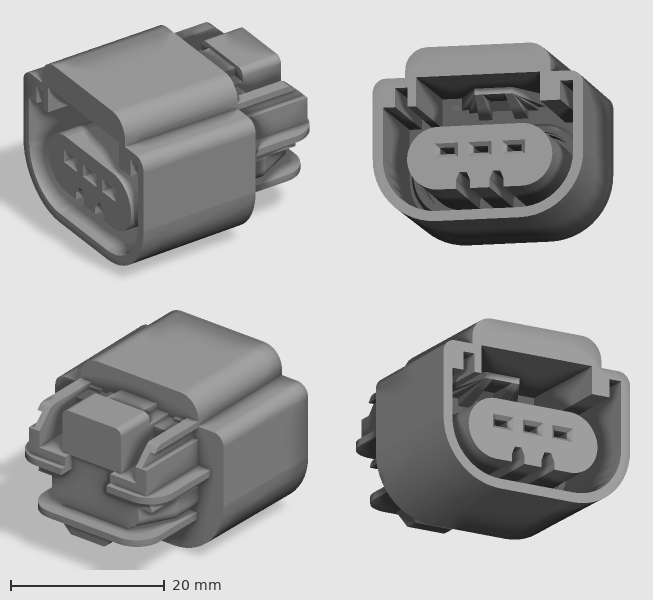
import cadquery as cq
import math


shroud_length = 17.65
shroud_width = 28.15
half_width = shroud_width / 2
lower_radius = 8.53
shoulder_z = 19.2
shoulder_radius = 1.75
draft_angle = 0.5
hood_half_width = 9.73
hood_top = 23.12
hood_radius = 2.93

axis_z = lower_radius
oval_half_flat = half_width - lower_radius
wall = 1.35
cavity_depth = 14.65
ledge_z = 15.35
pocket_top = 17.87
left_pocket = (-11.08, -9.4)
inner_opening_half = 8.32
right_pocket_left = 11.0

core_front = 0.97
core_radius = 4.15
core_draft = 0.4
seal_front = 11.72
seal_radius = 6.4
seal_lead_in = 0.53
seal_angle = 20
seal_bore_radius = 5.05
seal_lip_radius = 4.83
seal_lip_depth = 0.6

contact_pitch = 4.48
contact_z = 9.55
opening_width, opening_height = 3.1, 1.85
funnel_width, funnel_height = 1.95, 0.88
funnel_depth = 0.6
contact_end = 5.85
slot_half_width = 1.9 / 2
slot_tip_half_width = 0.97 / 2
slot_shoulder_z = 5.42
slot_top_z = 6.53

nose_front = 8.8
ramp_front = 13.48
nose_half_width = 2.52
nose_bottom = 18.28
leg_inner = 1.5
leg_outer = 3.3
leg_bottom = 16.03
wing_half_width = 5.6
wing_bottom = 17.5
step_half_width = 4.7
step_bottom = 17.05
ramp_bottom = 17.17

part_length = 29.3
flange_thickness = 0.97
upper_flange_half = 11.75
upper_flange_bottom = 12.3
lower_flange_half = 9.58
lower_flange_bottom = 5.3
flange_radius = 3.8
upper_flange_top = upper_flange_bottom + flange_thickness
gap_half_width = 3.75
gap_front = 26.95

barrel_half = 9.82
barrel_upper_half = 9.38
barrel_end = 26.93
barrel_bottom, barrel_top = 6.77, 11.72
barrel_radius = 1.6
taper_start = 21.9
taper_slope = 0.53
taper_top = 10.08

foot_half_width = 4.4
foot_bottom = 3.57
foot_bevel_height = 1.6
foot_bevel_width = 1.65
foot_end = 28.55
foot_tip = 26.6

rail_end = 28.55
rail_top = 19.75
rail_inner = 7.97
rail_bend_radius = 1.05
groove_bottom, groove_top = 17.08, 18.87
groove_depth = 0.8
deck_top = 14.65
front_deck_top = 18.9
front_deck_end = 20.85
stop_top = 19.35
stop_end = 18.2
stop_inner = 6.07

latch_start, latch_end = 21.68, 27.65
latch_half_width = 4.85
latch_top = 21.1
latch_radius = 1.0
ledge_top = 19.35
beam_half_width = 3.0
beam_front_top, beam_rear_top = 20.22, 20.57


def facing(y):
    """Sketch plane across the part at depth y, with local X and Y along X and Z."""
    return cq.Workplane("XZ", origin=(0, y, 0))


def box(x_min, x_max, y_min, y_max, z_min, z_max):
    """Block given by its limits."""
    size = (x_max - x_min, y_max - y_min, z_max - z_min)
    return cq.Workplane("XY").box(*size, centered=False).translate((x_min, y_min, z_min))


def oval(radius, y_start, y_end, taper=0):
    """Rod of flat-sided oval section about the connector axis."""
    sketch = facing(y_start).center(0, axis_z).slot2D(2 * (oval_half_flat + radius), 2 * radius)
    return sketch.extrude(y_start - y_end, taper=taper)


def rect_loft(front, y_front, rear, y_rear):
    """Solid between two rectangles, each given as (x_min, x_max, z_min, z_max)."""
    def center_and_size(limits):
        x_min, x_max, z_min, z_max = limits
        return (x_min + x_max) / 2, (z_min + z_max) / 2, x_max - x_min, z_max - z_min

    front_x, front_z, front_width, front_height = center_and_size(front)
    rear_x, rear_z, rear_width, rear_height = center_and_size(rear)
    sketch = facing(y_front).center(front_x, front_z).rect(front_width, front_height)
    sketch = sketch.workplane(offset=y_front - y_rear).center(rear_x - front_x, rear_z - front_z)
    return sketch.rect(rear_width, rear_height).loft(combine=True)


def both_sides(solid):
    """A solid joined with its mirror image across X = 0."""
    return solid.union(solid.mirror("YZ"))


def bowl(sketch, half, floor_z):
    """Draw the round-cornered lower edge from the right side to the left side."""
    radius = axis_z - floor_z
    diagonal = radius * math.sqrt(0.5)
    flat = half - radius
    sketch = sketch.threePointArc((flat + diagonal, axis_z - diagonal), (flat, floor_z))
    sketch = sketch.lineTo(-flat, floor_z)
    return sketch.threePointArc((-flat - diagonal, axis_z - diagonal), (-half, axis_z))


def make_shroud():
    corner_z = shoulder_z - shoulder_radius
    arc_offset = shoulder_radius * (1 - math.sqrt(0.5))
    sketch = facing(0).moveTo(-half_width, corner_z)
    sketch = sketch.threePointArc(
        (-half_width + arc_offset, shoulder_z - arc_offset), (-half_width + shoulder_radius, shoulder_z)
    )
    sketch = sketch.lineTo(half_width - shoulder_radius, shoulder_z)
    sketch = sketch.threePointArc(
        (half_width - arc_offset, shoulder_z - arc_offset), (half_width, corner_z)
    )
    sketch = bowl(sketch.lineTo(half_width, axis_z), half_width, 0).close()
    shell = sketch.extrude(-shroud_length, taper=draft_angle)

    hood = box(-hood_half_width, hood_half_width, 0, shroud_length, axis_z, hood_top)
    hood = hood.edges("|Y and >Z").fillet(hood_radius)
    return shell.union(hood)


def make_cavity():
    half = half_width - wall
    sketch = facing(0).moveTo(-half, axis_z)
    outline = [
        (-half, ledge_z),
        (left_pocket[0], ledge_z),
        (left_pocket[0], pocket_top),
        (left_pocket[1], pocket_top),
        (left_pocket[1], ledge_z),
        (-inner_opening_half, ledge_z),
        (-inner_opening_half, shoulder_z),
        (inner_opening_half, shoulder_z),
        (inner_opening_half, ledge_z),
        (right_pocket_left, ledge_z),
        (right_pocket_left, pocket_top),
        (half, pocket_top),
        (half, axis_z),
    ]
    for point in outline:
        sketch = sketch.lineTo(*point)
    sketch = bowl(sketch, half, wall).close()
    return sketch.extrude(-cavity_depth, taper=draft_angle)


def make_seal():
    lead_in_end = seal_front + seal_lead_in / math.tan(math.radians(seal_angle))
    lead_in = oval(seal_radius - seal_lead_in, seal_front, lead_in_end, taper=-seal_angle)
    body = oval(seal_radius, lead_in_end, cavity_depth)
    lip_start = seal_front + seal_lip_depth
    bore = oval(seal_bore_radius, seal_front, lip_start)
    lip_bore = oval(seal_lip_radius, lip_start, cavity_depth)
    return lead_in.union(body).cut(bore).cut(lip_bore)


def make_core():
    core = oval(core_radius, core_front, cavity_depth, taper=-core_draft)
    for column in (-1, 0, 1):
        x = column * contact_pitch
        opening = (
            x - opening_width / 2,
            x + opening_width / 2,
            contact_z - opening_height / 2,
            contact_z + opening_height / 2,
        )
        throat = (
            x - funnel_width / 2,
            x + funnel_width / 2,
            contact_z - funnel_height / 2,
            contact_z + funnel_height / 2,
        )
        funnel_end = core_front + funnel_depth
        core = core.cut(rect_loft(opening, core_front, throat, funnel_end))
        hole = box(*throat[:2], funnel_end, contact_end, *throat[2:])
        core = core.cut(hole)
    for side in (-1, 1):
        slot = facing(core_front).center(side * contact_pitch / 2, 0).polyline([
            (-slot_half_width, 0),
            (-slot_half_width, slot_shoulder_z),
            (-slot_tip_half_width, slot_top_z),
            (slot_tip_half_width, slot_top_z),
            (slot_half_width, slot_shoulder_z),
            (slot_half_width, 0),
        ]).close().extrude(core_front - cavity_depth)
        core = core.cut(slot)
    return core


def make_nose():
    """Latch nose with a central tongue flanked by wings, steps and legs that flare towards the floor."""
    def flare(rear_right, rear_bottom):
        front = (leg_inner, nose_half_width, nose_bottom, shoulder_z)
        rear = (leg_inner, rear_right, rear_bottom, shoulder_z)
        return rect_loft(front, nose_front, rear, cavity_depth)

    wing = flare(wing_half_width, wing_bottom)
    step = flare(step_half_width, step_bottom)
    leg = flare(leg_outer, leg_bottom)
    tongue = box(-leg_inner, leg_inner, nose_front, cavity_depth, nose_bottom, shoulder_z)
    ramp = rect_loft(
        (-leg_inner, leg_inner, nose_bottom, shoulder_z),
        ramp_front,
        (-leg_inner, leg_inner, ramp_bottom, shoulder_z),
        cavity_depth,
    )
    return both_sides(wing.union(step).union(leg)).union(tongue).union(ramp)


def make_flange(half, bottom):
    plate = box(-half, half, shroud_length, part_length, bottom, bottom + flange_thickness)
    return plate.edges("|Z and >Y").fillet(flange_radius)


def make_barrel():
    """Round-edged block whose lower part narrows towards the rear."""
    half = barrel_half
    rear_half = half - taper_slope * (barrel_end - taper_start)
    upper_half = barrel_upper_half
    upper = box(-upper_half, upper_half, shroud_length, barrel_end, taper_top, barrel_top)
    upper = upper.edges("|Y and >Z").fillet(barrel_radius)
    lower = cq.Workplane("XY", origin=(0, 0, barrel_bottom)).polyline([
        (-half, shroud_length),
        (-half, taper_start),
        (-rear_half, barrel_end),
        (rear_half, barrel_end),
        (half, taper_start),
        (half, shroud_length),
    ]).close().extrude(taper_top - barrel_bottom)
    lower = lower.faces("<Z").edges("not(<Y or >Y)").fillet(barrel_radius)
    web_half = rear_half - barrel_radius
    web = box(-web_half, web_half, shroud_length, barrel_end, lower_flange_bottom, upper_flange_top)
    return upper.union(lower).union(web)


def make_foot():
    rise = lower_flange_bottom - foot_bottom
    profile = cq.Workplane("YZ", origin=(-foot_half_width, 0, 0)).polyline([
        (foot_tip, foot_bottom),
        (foot_end, foot_bottom),
        (foot_end, lower_flange_bottom),
        (foot_tip - rise, lower_flange_bottom),
    ])
    foot = profile.close().extrude(2 * foot_half_width)
    return foot.edges("|Y and <Z").chamfer(foot_bevel_height, foot_bevel_width)


def make_rails():
    """Grooved side walls with a 45 degree rear corner, and the deck between them."""
    outer = hood_half_width
    rail = box(rail_inner, outer, shroud_length, rail_end, upper_flange_bottom, rail_top)
    rail = rail.edges("|X and >Y and >Z").chamfer(rail_top - groove_bottom)
    rail = rail.faces(">Z").edges(">Y").fillet(rail_bend_radius)
    groove = box(outer - groove_depth, outer, shroud_length, rail_end, groove_bottom, groove_top)
    stop = box(stop_inner, rail_inner, shroud_length, stop_end, front_deck_top, stop_top)
    rails = both_sides(rail.cut(groove).union(stop))
    deck = box(-rail_inner, rail_inner, shroud_length, rail_end, upper_flange_bottom, deck_top)
    front_deck = box(
        -rail_inner, rail_inner, shroud_length, front_deck_end, upper_flange_bottom, front_deck_top
    )
    return rails.union(deck).union(front_deck)


def make_gap():
    """Opening in the rear edge of the deck and the upper flange."""
    return box(
        -gap_half_width, gap_half_width, gap_front, part_length, upper_flange_bottom, deck_top
    )


def make_latch():
    half = latch_half_width
    block = box(-half, half, latch_start, latch_end, deck_top, latch_top)
    block = block.edges("|Y and >Z").fillet(latch_radius)
    ledge = box(-half, half, shroud_length, latch_start, deck_top, ledge_top)
    beam = cq.Workplane("YZ", origin=(-beam_half_width, 0, 0)).polyline([
        (shroud_length, ledge_top),
        (latch_start, ledge_top),
        (latch_start, beam_rear_top),
        (shroud_length, beam_front_top),
    ]).close().extrude(2 * beam_half_width)
    return block.union(ledge).union(beam)


socket = make_shroud().cut(make_cavity()).union(make_seal()).union(make_core()).union(make_nose())
rear = make_flange(upper_flange_half, upper_flange_bottom)
rear = rear.union(make_rails()).cut(make_gap()).union(make_latch())
rear = rear.union(make_flange(lower_flange_half, lower_flange_bottom)).union(make_barrel()).union(make_foot())

result = socket.union(rear)